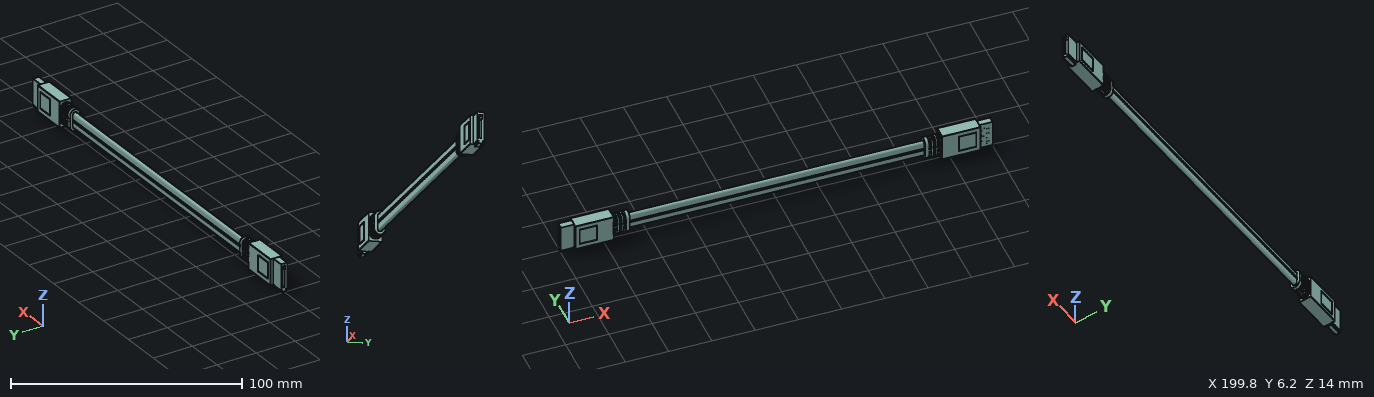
import cadquery as cq
import math

TOTAL_LENGTH = 199.8
TOTAL_HEIGHT = 14.0

HOUSING_START = 6.2
HOUSING_END = 24.0
HOUSING_THICKNESS = 6.2
KEY_HEIGHT = 1.0
HOUSING_HEIGHT = TOTAL_HEIGHT - KEY_HEIGHT
HOUSING_CHAMFER = 0.1
LABEL_SIZE = 8.0
LABEL_START = 8.2
LABEL_DEPTH = 0.2

PLUG_THICKNESS = 3.2
KEY_THICKNESS = 2.0
SOCKET_DEPTH = 5.0
SOCKET_LENGTH = 10.4
SOCKET_WIDTH = 1.2
SOCKET_OFFSET = 0.4
SOCKET_FOOT_HEIGHT = 1.8
SOCKET_FOOT_REACH = 0.4
CONTACT_COUNT = 7
CONTACT_PITCH = 1.28
CONTACT_HEIGHT = 0.5
CONTACT_REACH = 0.4
CONTACT_DROP = 0.5

RELIEF_END = 31.5
RELIEF_HEIGHT = 10.8
RELIEF_THICKNESS = 5.2
SLOT_START = 24.8
SLOT_PITCH = 2.0
SLOT_WIDTH = 1.0
SLOT_COUNT = 3
BRIDGE_WIDTH = 1.2

CABLE_HEIGHT = 8.0
CABLE_THICKNESS = 2.2
GROOVE_HEIGHT = 1.0
GROOVE_DEPTH = 0.2

TIP_X = -TOTAL_LENGTH / 2
TOP_Z = TOTAL_HEIGHT / 2
BLOCK_BOTTOM_Z = TOP_Z - HOUSING_HEIGHT
AXIS_Z = TOP_Z - HOUSING_HEIGHT / 2


def box_between(start, end, thickness, height, middle_z=AXIS_Z):
    """Box centred in Y; start and end are measured along X from the plug tip."""
    box = cq.Workplane("XY").box(end - start, thickness, height)
    return box.translate((TIP_X + (start + end) / 2, 0, middle_z))


def section_plane(start):
    """YZ plane at a distance from the plug tip, with its origin on the cable axis."""
    return cq.Workplane("YZ", origin=(TIP_X + start, 0, AXIS_Z))


def make_cable():
    """Ribbon with round edges and a V groove along the middle of both faces."""
    half_thickness = CABLE_THICKNESS / 2
    half_height = CABLE_HEIGHT / 2
    edge_start = half_height - half_thickness
    diagonal = half_thickness * math.sqrt(0.5)
    groove_edge = GROOVE_HEIGHT / 2
    groove_bottom = half_thickness - GROOVE_DEPTH
    return (
        section_plane(HOUSING_END)
        .moveTo(half_thickness, groove_edge)
        .lineTo(half_thickness, edge_start)
        .threePointArc((diagonal, edge_start + diagonal), (0, half_height))
        .threePointArc((-diagonal, edge_start + diagonal), (-half_thickness, edge_start))
        .lineTo(-half_thickness, groove_edge)
        .lineTo(-groove_bottom, 0)
        .lineTo(-half_thickness, -groove_edge)
        .lineTo(-half_thickness, -edge_start)
        .threePointArc((-diagonal, -edge_start - diagonal), (0, -half_height))
        .threePointArc((diagonal, -edge_start - diagonal), (half_thickness, -edge_start))
        .lineTo(half_thickness, -groove_edge)
        .lineTo(groove_bottom, 0)
        .close()
        .extrude(TOTAL_LENGTH - 2 * HOUSING_END)
    )


def make_relief_slot(index):
    """Material removed by one slot; bridges sit at the sides and at the top and bottom in turn."""
    start = SLOT_START + index * SLOT_PITCH
    end = start + SLOT_WIDTH
    slot = box_between(start, end, HOUSING_THICKNESS, HOUSING_HEIGHT)
    if index % 2 == 0:
        bridge = box_between(start, end, HOUSING_THICKNESS, BRIDGE_WIDTH)
    else:
        bridge = box_between(start, end, BRIDGE_WIDTH, HOUSING_HEIGHT)
    return slot.cut(bridge)


def make_housing(cable):
    """Chamfered overmould block with two label recesses, and the strain relief around the cable."""
    block = box_between(HOUSING_START, HOUSING_END, HOUSING_THICKNESS, HOUSING_HEIGHT)
    block = block.faces("<Y or >Y").edges().chamfer(HOUSING_CHAMFER)
    label = box_between(LABEL_START, LABEL_START + LABEL_SIZE, LABEL_DEPTH, LABEL_SIZE)
    label_y = (HOUSING_THICKNESS - LABEL_DEPTH) / 2
    for side in (-1, 1):
        block = block.cut(label.translate((0, side * label_y, 0)))

    relief = (
        section_plane(HOUSING_END)
        .slot2D(RELIEF_HEIGHT, RELIEF_THICKNESS, 90)
        .extrude(RELIEF_END - HOUSING_END)
    )
    for index in range(SLOT_COUNT):
        relief = relief.cut(make_relief_slot(index))
    return block.union(relief).cut(cable)


def make_plug():
    """Plug in front of the block, with a key rail below and contact ribs in an L-shaped socket."""
    body = box_between(0, HOUSING_START, PLUG_THICKNESS, HOUSING_HEIGHT)
    key = box_between(0, HOUSING_START, KEY_THICKNESS, KEY_HEIGHT, BLOCK_BOTTOM_Z - KEY_HEIGHT / 2)

    wall_y = SOCKET_OFFSET + SOCKET_WIDTH / 2
    tongue_y = SOCKET_OFFSET - SOCKET_WIDTH / 2
    half_length = SOCKET_LENGTH / 2
    foot_y = tongue_y - SOCKET_FOOT_REACH
    foot_z = half_length - SOCKET_FOOT_HEIGHT
    socket = (
        section_plane(0)
        .moveTo(wall_y, -half_length)
        .lineTo(wall_y, half_length)
        .lineTo(foot_y, half_length)
        .lineTo(foot_y, foot_z)
        .lineTo(tongue_y, foot_z)
        .lineTo(tongue_y, -half_length)
        .close()
        .extrude(SOCKET_DEPTH)
    )
    plug = body.union(key).cut(socket)

    contact = box_between(0, SOCKET_DEPTH, CONTACT_REACH, CONTACT_HEIGHT)
    contact_y = wall_y - CONTACT_REACH / 2
    for index in range(CONTACT_COUNT):
        contact_z = (index - (CONTACT_COUNT - 1) / 2) * CONTACT_PITCH - CONTACT_DROP
        plug = plug.union(contact.translate((0, contact_y, contact_z)))
    return plug


def at_both_ends(body):
    """The solid at the -X end and its copy turned half a turn about Z to the +X end."""
    return [body.rotate((0, 0, 0), (0, 0, 1), angle).val() for angle in (0, 180)]


cable = make_cable()
housings = at_both_ends(make_housing(cable))
plugs = at_both_ends(make_plug())

result = cq.Compound.makeCompound([cable.val(), *housings, *plugs])